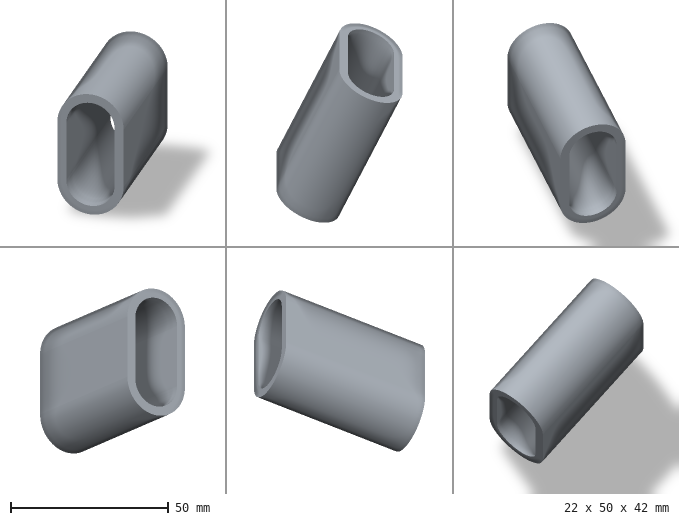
import cadquery as cq

width = 22.0
length = 50.0
height = 42.0
wall = 3.0

bore_width = width - 2 * wall
bore_height = height - 2 * wall


def oval_bar(bar_width, bar_height):
    """Solid bar along Y with an upright oval (slot-shaped) section, centred on the origin."""
    section = cq.Workplane("XZ").slot2D(bar_height, bar_width, angle=90)
    return section.extrude(length / 2, both=True)


result = oval_bar(width, height).cut(oval_bar(bore_width, bore_height))